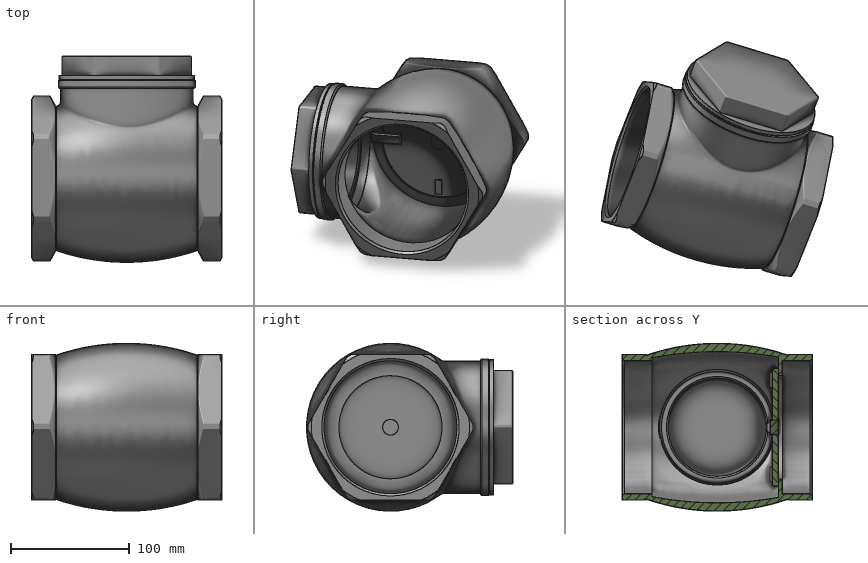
import cadquery as cq
import math


LENGTH = 160.0
HALF_LENGTH = LENGTH / 2
BARREL_RADIUS = 70.6
BARREL_END_RADIUS = 60.7
BARREL_HALF_LENGTH = 59.0
HEX_FLATS = 122.5
HEX_CORNER_RADIUS = 69.4
HEX_CORNER_FILLET = 3.5
HEX_FACE_RADIUS = 66.5
HEX_FACE_ANGLE = 30
HEX_STRAIGHT_LENGTH = 15.5
HEX_LENGTH = 20.8
HEX_ROOT_RADIUS = 59.7
HEX_BACK_FILLET = 1.4

BORE_RADIUS = 55.9
BORE_DEPTH = 25.3
BORE_CHAMFER = 1.9
CAVITY_RADIUS = 63.5
CAVITY_END_RADIUS = 58.3
SEAT_X = 51.4
SEAT_HOLE_RADIUS = 43.4

PORT_TOP = 82.2
PORT_RADIUS = 48.5
PORT_EDGE_FILLET = 1.7
NECK_RADIUS = 55.7
NECK_ROOT_FILLET = 3.5
COLLAR_RADIUS = 57.6
COLLAR_LENGTH = 6.8
COLLAR_CHAMFER = 1.4
SOCKET_RADIUS = 49.5
SOCKET_DEPTH = 21.9

GASKET_RADIUS = 55.5
GASKET_THICKNESS = 1.2

CAP_FLANGE_RADIUS = 56.9
CAP_FLANGE_BOTTOM = PORT_TOP + GASKET_THICKNESS
CAP_FLANGE_THICKNESS = 3.3
CAP_TOP = 102.9
CAP_HEX_FLATS = 95.5
CAP_HEX_FILLET = 3.5
CAP_TOP_FILLET = 1.4
CAP_PLUG_BOTTOM = 67.0
CAP_PLUG_CHAMFER = 2.6
CAP_HOLLOW_RADIUS = 41.3
CAP_HOLLOW_TOP = 95.5
CAP_HOLLOW_FILLET = 2.6
CAP_MOUTH_CHAMFER = 1.4

DISC_RADIUS = 49.8
DISC_THICKNESS = 5.2
DISC_CHAMFER = 1.2
LUG_INNER = 33.5
LUG_LENGTH = 12.5
LUG_WIDTH = 5.5
LUG_HEIGHT = 1.7

BOLT_RADIUS = 6.6
BOLT_PROTRUSION = 1.7

ARM_BOTTOM = 32.6
ARM_TOP = 57.3
ARM_WIDTH = 8.7
ARM_THICKNESS = 4.3
ARM_CHAMFER = 1.2


def along_x(radius, start, end):
    """Cylinder on the flow axis."""
    return cq.Workplane("YZ", origin=(start, 0, 0)).circle(radius).extrude(end - start)


def along_y(radius, start, end):
    """Cylinder on the port axis; the XZ workplane faces -Y."""
    return cq.Workplane("XZ", origin=(0, start, 0)).circle(radius).extrude(start - end)


def revolved_about_x(outline):
    return outline.close().revolve(360, (0, 0, 0), (1, 0, 0))


def hexagon_diameter(flats):
    return flats / math.cos(math.radians(30))


def make_hex_end():
    """Hexagonal pipe end at -X: flattened corners, a chamfered face and a conical back."""
    hexagon = (
        cq.Workplane("YZ", origin=(-HALF_LENGTH, 0, 0))
        .polygon(6, hexagon_diameter(HEX_FLATS))
        .extrude(HEX_LENGTH)
    )
    corner_flats = (
        cq.Workplane("YZ", origin=(-HALF_LENGTH, 0, 0))
        .transformed(rotate=(0, 0, 30))
        .polygon(6, hexagon_diameter(2 * HEX_CORNER_RADIUS))
        .extrude(HEX_LENGTH)
    )
    rounded = hexagon.intersect(corner_flats).edges("|X").fillet(HEX_CORNER_FILLET)

    face_chamfer = (HEX_CORNER_RADIUS - HEX_FACE_RADIUS) * math.tan(math.radians(HEX_FACE_ANGLE))
    turned = revolved_about_x(
        cq.Workplane("XY").polyline([
            (-HALF_LENGTH, 0),
            (-HALF_LENGTH, HEX_FACE_RADIUS),
            (-HALF_LENGTH + face_chamfer, HEX_CORNER_RADIUS),
            (-HALF_LENGTH + HEX_STRAIGHT_LENGTH, HEX_CORNER_RADIUS),
            (-HALF_LENGTH + HEX_LENGTH, HEX_ROOT_RADIUS),
            (-HALF_LENGTH + HEX_LENGTH, 0),
        ])
    )
    return rounded.intersect(turned).edges(
        cq.selectors.BoxSelector(
            (-HALF_LENGTH + HEX_STRAIGHT_LENGTH - 0.3, -86.8, -86.8), (-HALF_LENGTH + HEX_LENGTH - 0.02, 86.8, 86.8)
        )
    ).fillet(HEX_BACK_FILLET)


def make_housing_outside():
    barrel = revolved_about_x(
        cq.Workplane("XY")
        .moveTo(-BARREL_HALF_LENGTH, 0)
        .lineTo(-BARREL_HALF_LENGTH, BARREL_END_RADIUS)
        .threePointArc((0, BARREL_RADIUS), (BARREL_HALF_LENGTH, BARREL_END_RADIUS))
        .lineTo(BARREL_HALF_LENGTH, 0)
    )
    collar = (
        along_y(COLLAR_RADIUS, PORT_TOP - COLLAR_LENGTH, PORT_TOP)
        .faces("<Y").edges().chamfer(COLLAR_CHAMFER)
    )
    outside = barrel.union(along_y(NECK_RADIUS, 0, PORT_TOP))
    outside = outside.edges("%BSPLINE").fillet(NECK_ROOT_FILLET)
    root = along_x(BARREL_END_RADIUS, -HALF_LENGTH + 1.7, HALF_LENGTH - 1.7)
    hex_end = make_hex_end()
    return outside.union(collar).union(root).union(hex_end).union(hex_end.mirror("YZ"))


def make_housing_inside():
    bore_end = HALF_LENGTH - BORE_DEPTH
    cavity_arc_radius = (bore_end**2 + (CAVITY_RADIUS - CAVITY_END_RADIUS) ** 2) / (
        2 * (CAVITY_RADIUS - CAVITY_END_RADIUS)
    )
    cavity_arc_centre = CAVITY_RADIUS - cavity_arc_radius
    seat_edge_radius = cavity_arc_centre + math.sqrt(cavity_arc_radius**2 - SEAT_X**2)
    cavity = revolved_about_x(
        cq.Workplane("XY")
        .moveTo(-bore_end, 0)
        .lineTo(-bore_end, CAVITY_END_RADIUS)
        .threePointArc((0, CAVITY_RADIUS), (SEAT_X, seat_edge_radius))
        .lineTo(SEAT_X, 0)
    )
    inside = cavity.union(along_y(PORT_RADIUS, 0, PORT_TOP))
    inside = inside.edges("%BSPLINE").fillet(PORT_EDGE_FILLET)
    socket = along_y(SOCKET_RADIUS, PORT_TOP - SOCKET_DEPTH, PORT_TOP)
    bore = revolved_about_x(
        cq.Workplane("XY").polyline([
            (-HALF_LENGTH, 0),
            (-HALF_LENGTH, BORE_RADIUS + BORE_CHAMFER),
            (-HALF_LENGTH + BORE_CHAMFER, BORE_RADIUS),
            (-bore_end, BORE_RADIUS),
            (-bore_end, 0),
        ])
    )
    seat_hole = along_x(SEAT_HOLE_RADIUS, SEAT_X, bore_end)
    return inside.union(socket).union(bore).union(bore.mirror("YZ")).union(seat_hole)


def make_housing():
    return make_housing_outside().cut(make_housing_inside())


def make_gasket():
    return along_y(GASKET_RADIUS, PORT_TOP, CAP_FLANGE_BOTTOM).cut(
        along_y(SOCKET_RADIUS, PORT_TOP, CAP_FLANGE_BOTTOM)
    )


def make_cap():
    flange_top = CAP_FLANGE_BOTTOM + CAP_FLANGE_THICKNESS
    head = (
        cq.Workplane("XZ", origin=(0, flange_top, 0))
        .polygon(6, hexagon_diameter(CAP_HEX_FLATS))
        .extrude(flange_top - CAP_TOP)
        .edges("|Y").fillet(CAP_HEX_FILLET)
        .faces(">Y").edges().fillet(CAP_TOP_FILLET)
    )
    flange = along_y(CAP_FLANGE_RADIUS, CAP_FLANGE_BOTTOM, flange_top)
    plug = (
        along_y(SOCKET_RADIUS, CAP_PLUG_BOTTOM, CAP_FLANGE_BOTTOM)
        .faces("<Y").edges().chamfer(CAP_PLUG_CHAMFER)
    )
    hollow = (
        along_y(CAP_HOLLOW_RADIUS, CAP_PLUG_BOTTOM, CAP_HOLLOW_TOP)
        .faces(">Y").edges().fillet(CAP_HOLLOW_FILLET)
    )
    return (
        head.union(flange).union(plug).cut(hollow)
        .faces("<Y").edges("%CIRCLE").edges(cq.selectors.RadiusNthSelector(0)).chamfer(CAP_MOUTH_CHAMFER)
    )


def make_disc():
    front = SEAT_X - DISC_THICKNESS
    disc = along_x(DISC_RADIUS, front, SEAT_X).faces("<X").edges().chamfer(DISC_CHAMFER)
    for side in (-1, 1):
        lug = cq.Workplane("XY").box(LUG_HEIGHT, LUG_WIDTH, LUG_LENGTH).translate(
            (front - LUG_HEIGHT / 2, 0, side * (LUG_INNER + LUG_LENGTH / 2))
        )
        disc = disc.union(lug)
    return disc.cut(along_x(BOLT_RADIUS, front, SEAT_X))


def make_bolt():
    return along_x(BOLT_RADIUS, SEAT_X - DISC_THICKNESS - BOLT_PROTRUSION, SEAT_X)


def make_arm():
    """Bar standing on the face of the disc and reaching up past its rim."""
    return (
        cq.Workplane("XY")
        .box(ARM_THICKNESS, ARM_TOP - ARM_BOTTOM, ARM_WIDTH)
        .translate((SEAT_X - DISC_THICKNESS - ARM_THICKNESS / 2, (ARM_TOP + ARM_BOTTOM) / 2, 0))
        .faces("<X").edges("|Y").chamfer(ARM_CHAMFER)
    )


housing = make_housing()
gasket = make_gasket()
cap = make_cap()
disc = make_disc()
bolt = make_bolt()
arm = make_arm()

result = cq.Compound.makeCompound([
    housing.val(),
    gasket.val(),
    cap.val(),
    disc.val(),
    bolt.val(),
    arm.val(),
])